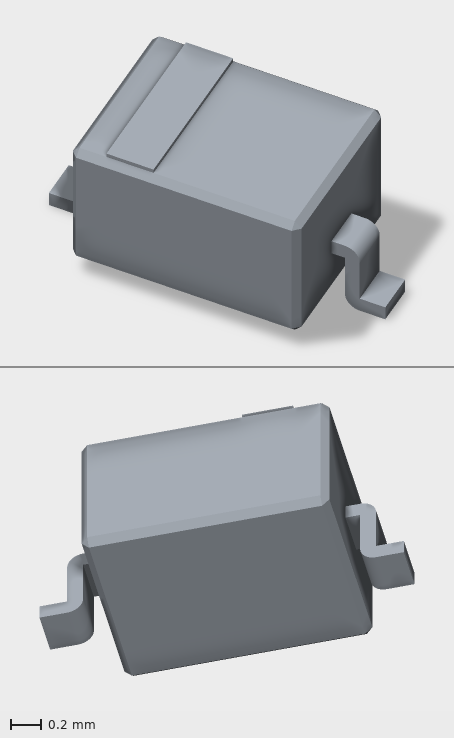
import cadquery as cq

body_length = 1.7
body_width = 1.3
body_height = 1.0
body_standoff = 0.1
body_chamfer = 0.05

band_length = 0.35
band_offset = 0.25
band_height = 0.03

overall_length = 2.5
lead_width = 0.3
lead_thickness = 0.11
lead_top = 0.55
foot_length = 0.19

body_end = body_length / 2
body_top = body_standoff + body_height


def make_body():
    """Box with every edge chamfered, raised above the lead feet."""
    return (
        cq.Workplane("XY")
        .workplane(offset=body_standoff)
        .box(body_length, body_width, body_height, centered=(True, True, False))
        .edges()
        .chamfer(body_chamfer)
    )


def make_band():
    """Thin strip across the flat part of the top face, near the -X end."""
    band_center = -body_end + band_offset + band_length / 2
    return (
        cq.Workplane("XY")
        .workplane(offset=body_top)
        .center(band_center, 0)
        .rect(band_length, body_width - 2 * body_chamfer)
        .extrude(band_height)
    )


def make_lead():
    """Lead at the -X end: sharp inner corners, rounded outer corners."""
    tip = -overall_length / 2
    riser_outer = tip + foot_length
    riser_inner = riser_outer + lead_thickness
    lead_underside = lead_top - lead_thickness
    outer_bend = lead_thickness
    return (
        cq.Workplane("XZ")
        .moveTo(tip, 0)
        .lineTo(riser_inner - outer_bend, 0)
        .radiusArc((riser_inner, outer_bend), -outer_bend)
        .lineTo(riser_inner, lead_underside)
        .lineTo(-body_end, lead_underside)
        .lineTo(-body_end, lead_top)
        .lineTo(riser_outer + outer_bend, lead_top)
        .radiusArc((riser_outer, lead_top - outer_bend), -outer_bend)
        .lineTo(riser_outer, lead_thickness)
        .lineTo(tip, lead_thickness)
        .close()
        .extrude(lead_width / 2, both=True)
    )


left_lead = make_lead()
right_lead = left_lead.mirror("YZ")
result = make_body().union(make_band()).union(left_lead).union(right_lead)